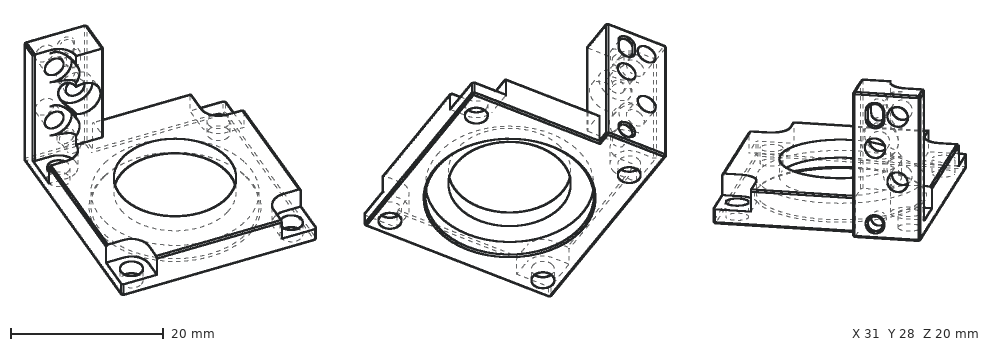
import cadquery as cq

length = 31.0
width = 28.0
height = 20.0
edge_chamfer = 0.25

plate_offset = 2.0
plate_thickness = 5.0
bore_diameter = 16.0
recess_diameter = 22.0
recess_depth = 2.5

pad_thickness = 2.0
mount_hole_diameter = 3.0
mount_inset = 2.5
mount_pitch = width - 2 * mount_inset
pad_radius = mount_inset
plate_center_x = length - mount_inset - mount_pitch / 2
mount_x = plate_center_x - mount_pitch / 2

post_depth = mount_x
post_width = 9.0
post_wall = mount_x - pad_radius

front_row_y = 3.0
back_row_y = 6.0
screw_diameter = 2.7
counterbore_diameter = 5.0
screw_places = [(front_row_y, 8.0), (back_row_y, 12.5), (front_row_y, 17.0)]
dowel_diameter = 2.0
dowel_mouth_diameter = 2.5
dowel_depth = 2.5
dowel_z = 2.0
slot_z = 17.0
slot_travel = 1.0


def block(x, y, z):
    return cq.Workplane("XY").box(x, y, z, centered=False)


def rod_along_x(x, y, z, diameter, depth):
    start = cq.Workplane("YZ", origin=(x, y, z))
    return start.circle(diameter / 2).extrude(depth)


def corner_pocket(x_direction, y_direction):
    """Full-height pocket around a mounting hole, open towards the outside."""
    x = plate_center_x + x_direction * mount_pitch / 2
    y = width / 2 + y_direction * mount_pitch / 2
    reach = 2 * pad_radius
    base = cq.Workplane("XY", origin=(x, y, pad_thickness))
    pocket = base.circle(pad_radius).extrude(height)
    outward_y = base.center(0, y_direction * reach / 2).rect(2 * pad_radius, reach).extrude(height)
    pocket = pocket.union(outward_y)
    if (x_direction, y_direction) != (-1, -1):
        outward_x = base.center(x_direction * reach / 2, 0).rect(reach, 2 * pad_radius).extrude(height)
        pocket = pocket.union(outward_x)
    return pocket


def dowel_slot(travel):
    """Blind dowel hole with a chamfered mouth, stretched along Z by the travel."""
    mouth_chamfer = (dowel_mouth_diameter - dowel_diameter) / 2
    outer_face = cq.Workplane("YZ")
    if travel:
        slot = outer_face.slot2D(travel + dowel_diameter, dowel_diameter, 90).extrude(dowel_depth)
        mouth = outer_face.slot2D(travel + dowel_mouth_diameter, dowel_mouth_diameter, 90)
    else:
        slot = outer_face.circle(dowel_diameter / 2).extrude(dowel_depth)
        mouth = outer_face.circle(dowel_mouth_diameter / 2)
    return slot.union(mouth.extrude(mouth_chamfer, taper=45))


plate = block(length - plate_offset, width, plate_thickness).edges().chamfer(edge_chamfer)
post = block(post_depth, post_width, height)
post = post.edges("|X or |Z or <X").chamfer(edge_chamfer)
result = plate.translate((plate_offset, 0, 0)).union(post)

for x_side in (-1, 1):
    for y_side in (-1, 1):
        result = result.cut(corner_pocket(x_side, y_side))
mount_holes = (
    cq.Workplane("XY", origin=(plate_center_x, width / 2, 0))
    .rect(mount_pitch, mount_pitch, forConstruction=True)
    .vertices()
    .circle(mount_hole_diameter / 2)
    .extrude(plate_thickness)
)
result = result.cut(mount_holes)

pocket_edge = (
    cq.Workplane("XY", origin=(post_wall, 0, pad_thickness))
    .polyline([(-edge_chamfer, 0), (0, 0), (0, edge_chamfer)])
    .close()
    .extrude(height)
)
result = result.cut(pocket_edge)

center_plane = cq.Workplane("XY", origin=(plate_center_x, width / 2, 0))
result = result.cut(center_plane.circle(bore_diameter / 2).extrude(plate_thickness))
recess = center_plane.circle(recess_diameter / 2).extrude(recess_depth)
recess_mouth = (
    center_plane.circle(recess_diameter / 2 + edge_chamfer)
    .workplane(offset=edge_chamfer)
    .circle(recess_diameter / 2)
    .loft(ruled=True)
)
result = result.cut(recess).cut(recess_mouth)

for y, z in screw_places:
    result = result.cut(rod_along_x(0, y, z, screw_diameter, post_depth))
    result = result.cut(rod_along_x(post_wall, y, z, counterbore_diameter, post_depth - post_wall))

result = result.cut(dowel_slot(0).translate((0, back_row_y, dowel_z)))
result = result.cut(dowel_slot(slot_travel).translate((0, back_row_y, slot_z)))